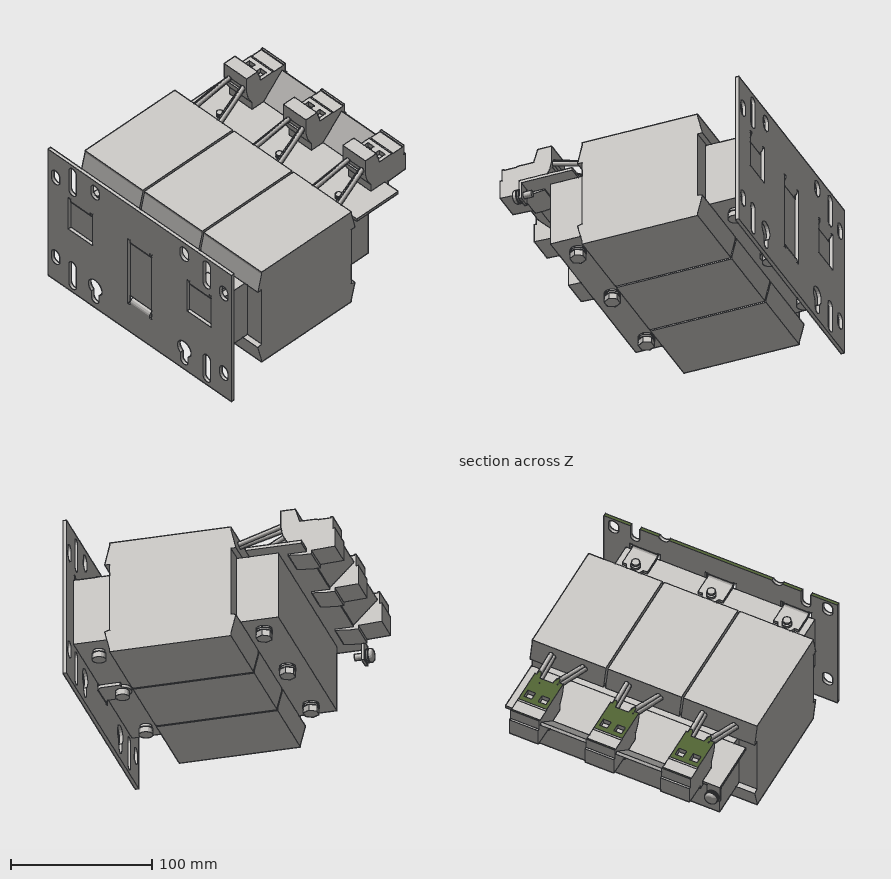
import cadquery as cq
import math


PLATE_WIDTH = 185.0
PLATE_HEIGHT = 122.0
PLATE_THICKNESS = 2.7

PITCH = 59.8
PHASE_X = (-PITCH, 0, PITCH)
LIMB = 30.0
CORE_WIDTH = 2 * PITCH + LIMB
CORE_START = PLATE_THICKNESS
CORE_END = 153.7
CORE_BOTTOM = -29.3
CORE_TOP = 21.8

COIL_WIDTH = 58.3
COIL_START = 33.5
COIL_END = 122.8
COIL_TOP = 40.0
COIL_BOTTOM = -46.8
FLANGE_OVERHANG = 3.7
FLANGE_EDGE = 2.0
FLANGE_GAP = 1.2

LONG_SLOT = (67.6, 45.0, 7.4, 25.6)
CORNER_SLOT = (84.7, 38.5, 8.2, 12.6)
UPPER_HOLE_X = 44.9
UPPER_HOLE_Z = 50.1
UPPER_HOLE_WIDTH = 8.7
UPPER_HOLE_LENGTH = 12.5
KEYHOLE_Z = -41.4
KEYHOLE_DIAMETER = 13.6
KEYHOLE_NECK_WIDTH = 7.4
KEYHOLE_END_Z = -56.2

TAB_WIDTH = 19.8
TAB_THICKNESS = 2.3
TAB_BEND_RADIUS = 4.7
TAB_SHOULDER_Y = 18.5
TAB_EAR_RADIUS = 6.6
WINDOW_WIDTH = 24.3
RELIEF_LENGTH = 5.5
SIDE_WINDOW_BOTTOM = -2.7

FRONT_BOLT_Y = 17.3
REAR_BOLT_Y = 139.0
FRONT_TIP_STEPS = ((4.0, 7.0), (1.5, 3.9), (1.4, 6.0))
FRONT_HEAD_STEPS = ((TAB_THICKNESS, 8.5), (4.7, 10.0))
REAR_TIP_STEPS = ((3.0, 5.0), (1.7, 3.9), (1.0, 5.0))
REAR_WASHER_STEPS = ((1.5, 11.3), (1.5, 11.9))
HEX_HEAD_WIDTH = 10.1
HEX_HEAD_REACH = 7.8

BRACKET_WIDTH = 169.6
BRACKET_START = 132.3
BRACKET_END = 173.5
BRACKET_THICKNESS = 2.3
RAMP_WIDTH = 124.4
RAMP_ANGLE = 45
RAMP_START = 171.2
RAMP_END = 191.2
EARTH_TAB_WIDTH = 10.1
EARTH_TAB_THICKNESS = 1.7
EARTH_TAB_BOTTOM = 8.7
EARTH_SCREW_Z = 14.0
EARTH_SHANK_LENGTH = 8.0
EARTH_SHANK_DIAMETER = 4.9
EARTH_WASHER_STEPS = ((1.0, 8.5), (1.4, 10.1), (0.5, 9.0))
EARTH_HEAD_LENGTH = 3.1
EARTH_HEAD_DIAMETER = 10.1
EARTH_HEAD_FILLET = 2.3

TERMINAL_WIDTH = 22.7
TERMINAL_END = 194.3
TERMINAL_FACE = 154.3
POCKET_OFFSET = 5.6
POCKET_WIDTH = 5.8
POCKET_LENGTH = 5.8
POCKET_DEPTH = 3.9
POCKET_Y = 173.7
POCKET_TOP = 46.8
ENTRY_WIDTH = 15.5
ENTRY_DEPTH = 2.3
ENTRY_BOTTOM = 40.8
ENTRY_TOP = 47.0
WIRE_DIAMETER = 3.5
WIRE_START = (6.2, 159.3, 47.0)
WIRE_END = (12.8, 122.5, 32.3)
WIRE_START_OFFSET = (1.0, 1.4)
WIRE_END_OFFSET = (1.0, 0.5)


def box(x_range, y_range, z_range):
    """Box between the given limits on each axis."""
    size = [high - low for low, high in (x_range, y_range, z_range)]
    corner = (x_range[0], y_range[0], z_range[0])
    return cq.Workplane("XY").box(*size, centered=False).translate(corner)


def centred_box(x, width, y_range, z_range):
    return box((x - width / 2, x + width / 2), y_range, z_range)


def side_profile(points, x, width):
    """Closed outline of (Y, Z) points extruded along X and centred on x."""
    return cq.Workplane("YZ").polyline(points).close().extrude(width / 2, both=True).translate((x, 0, 0))


def rod(start, direction, length, diameter):
    """Round bar from a start point along a direction."""
    solid = cq.Solid.makeCylinder(diameter / 2, length, cq.Vector(*start), cq.Vector(*direction))
    return cq.Workplane(obj=solid)


def stepped_rod(start, direction, steps):
    """Coaxial bars stacked along a direction, each step a (length, diameter) pair."""
    axis = cq.Vector(*direction)
    position = cq.Vector(*start)
    stack = None
    for length, diameter in steps:
        bar = rod(position.toTuple(), direction, length, diameter)
        stack = bar if stack is None else stack.union(bar)
        position = position + axis * length
    return stack


def plate_slot(x, z, width, length):
    """Upright round-ended cutter through the plate."""
    return (
        cq.Workplane("XZ")
        .center(x, z)
        .slot2D(length, width, 90)
        .extrude(-PLATE_THICKNESS)
    )


def keyhole(x):
    """Keyhole cutter with its narrow neck pointing down."""
    neck_length = KEYHOLE_Z - KEYHOLE_END_Z + KEYHOLE_NECK_WIDTH / 2
    neck_centre = KEYHOLE_END_Z + neck_length / 2
    head = rod((x, 0, KEYHOLE_Z), (0, 1, 0), PLATE_THICKNESS, KEYHOLE_DIAMETER)
    return head.union(plate_slot(x, neck_centre, KEYHOLE_NECK_WIDTH, neck_length))


def core_tab(x):
    """Bent tab lying on the top of the core, with a rounded ear around the bolt."""
    inner_radius = TAB_BEND_RADIUS - TAB_THICKNESS
    outer_z = CORE_TOP + TAB_BEND_RADIUS
    flat = centred_box(x, TAB_WIDTH, (TAB_BEND_RADIUS, TAB_SHOULDER_Y), (CORE_TOP, CORE_TOP + TAB_THICKNESS))
    ear = rod((x, FRONT_BOLT_Y, CORE_TOP), (0, 0, 1), TAB_THICKNESS, 2 * TAB_EAR_RADIUS)
    bend_limits = centred_box(x, TAB_WIDTH, (0, TAB_BEND_RADIUS), (CORE_TOP, outer_z))
    centre = (x - TAB_WIDTH / 2, TAB_BEND_RADIUS, outer_z)
    bend = (
        rod(centre, (1, 0, 0), TAB_WIDTH, 2 * TAB_BEND_RADIUS)
        .cut(rod(centre, (1, 0, 0), TAB_WIDTH, 2 * inner_radius))
        .intersect(bend_limits)
    )
    return flat.union(ear).union(bend)


def lower_core_tab(x):
    """The same tab turned over onto the underside of the core."""
    core_middle = (CORE_TOP + CORE_BOTTOM) / 2
    return core_tab(x).mirror("XY", (0, 0, core_middle))


def mounting_plate():
    """Perforated plate with three tabs over the core and one under it."""
    plate = centred_box(0, PLATE_WIDTH, (0, PLATE_THICKNESS), (-PLATE_HEIGHT / 2, PLATE_HEIGHT / 2))
    for slot_x, slot_z, width, length in (LONG_SLOT, CORNER_SLOT):
        for x in (-slot_x, slot_x):
            for z in (-slot_z, slot_z):
                plate = plate.cut(plate_slot(x, z, width, length))
    for x in (-UPPER_HOLE_X, UPPER_HOLE_X):
        plate = plate.cut(plate_slot(x, UPPER_HOLE_Z, UPPER_HOLE_WIDTH, UPPER_HOLE_LENGTH))
        plate = plate.cut(keyhole(x))

    window_top = CORE_TOP + RELIEF_LENGTH
    for x in PHASE_X:
        low = CORE_BOTTOM - RELIEF_LENGTH if x == 0 else SIDE_WINDOW_BOTTOM
        plate = plate.cut(centred_box(x, WINDOW_WIDTH, (0, PLATE_THICKNESS), (low, window_top)))
        root = (CORE_TOP + TAB_BEND_RADIUS, window_top)
        plate = plate.union(centred_box(x, TAB_WIDTH, (0, PLATE_THICKNESS), root)).union(core_tab(x))
    lower_root = (CORE_BOTTOM - RELIEF_LENGTH, CORE_BOTTOM - TAB_BEND_RADIUS)
    plate = plate.union(centred_box(0, TAB_WIDTH, (0, PLATE_THICKNESS), lower_root))
    return plate.union(lower_core_tab(0))


def core():
    """Three limbs joined by a yoke at each end."""
    z_range = (CORE_BOTTOM, CORE_TOP)
    body = centred_box(0, CORE_WIDTH, (CORE_START, CORE_END), z_range)
    opening_width = PITCH - LIMB
    for x in (-PITCH / 2, PITCH / 2):
        body = body.cut(centred_box(x, opening_width, (CORE_START + LIMB, CORE_END - LIMB), z_range))
    return body


def coil(x):
    """Winding block whose end flanges flare out above and below the core."""
    block = centred_box(x, COIL_WIDTH, (COIL_START, COIL_END), (COIL_BOTTOM, COIL_TOP))
    for end, outward in ((COIL_START, -1), (COIL_END, 1)):
        lip = end + outward * FLANGE_OVERHANG
        upper = [(end, COIL_TOP - FLANGE_EDGE), (lip, CORE_TOP + FLANGE_GAP), (end, CORE_TOP + FLANGE_GAP)]
        lower = [
            (end, COIL_BOTTOM + FLANGE_EDGE),
            (lip, CORE_BOTTOM - FLANGE_GAP),
            (end, CORE_BOTTOM),
        ]
        block = block.union(side_profile(upper, x, COIL_WIDTH)).union(side_profile(lower, x, COIL_WIDTH))
    return block


def front_bolt(x):
    tip = stepped_rod((x, FRONT_BOLT_Y, CORE_TOP), (0, 0, 1), FRONT_TIP_STEPS)
    head = stepped_rod((x, FRONT_BOLT_Y, CORE_BOTTOM), (0, 0, -1), FRONT_HEAD_STEPS)
    return tip.union(head)


def rear_bolt(x):
    """Bolt through the rear yoke with two washers and a hexagon head underneath."""
    tip = stepped_rod((x, REAR_BOLT_Y, CORE_TOP), (0, 0, 1), REAR_TIP_STEPS)
    washers = stepped_rod((x, REAR_BOLT_Y, CORE_BOTTOM), (0, 0, -1), REAR_WASHER_STEPS)
    corner_diameter = HEX_HEAD_WIDTH / math.cos(math.pi / 6)
    head = (
        cq.Workplane("XY", origin=(x, REAR_BOLT_Y, CORE_BOTTOM))
        .polygon(6, corner_diameter)
        .extrude(-HEX_HEAD_REACH)
    )
    return tip.union(washers).union(head)


def bracket():
    """Flat plate with a raised ramp behind the terminals and a small earthing tab."""
    top = CORE_TOP + BRACKET_THICKNESS
    plate = centred_box(0, BRACKET_WIDTH, (BRACKET_START, BRACKET_END), (CORE_TOP, top))

    thickness_y = BRACKET_THICKNESS * math.sin(math.radians(RAMP_ANGLE))
    thickness_z = BRACKET_THICKNESS * math.cos(math.radians(RAMP_ANGLE))
    rise = (RAMP_END - thickness_y - RAMP_START) * math.tan(math.radians(RAMP_ANGLE))
    ramp = [
        (RAMP_START, top),
        (RAMP_END - thickness_y, top + rise),
        (RAMP_END, top + rise - thickness_z),
        (RAMP_START + thickness_y, top - thickness_z),
    ]
    plate = plate.union(side_profile(ramp, 0, RAMP_WIDTH))

    left = -BRACKET_WIDTH / 2
    tab_y = (BRACKET_END - EARTH_TAB_THICKNESS, BRACKET_END)
    tab = box((left, left + EARTH_TAB_WIDTH), tab_y, (EARTH_TAB_BOTTOM, top))
    return plate.union(tab).union(earth_screw(left + EARTH_TAB_WIDTH / 2))


def earth_screw(x):
    """Domed screw and its washers on the small downturned tab."""
    seat = (x, BRACKET_END, EARTH_SCREW_Z)
    shank = rod(seat, (0, -1, 0), EARTH_SHANK_LENGTH, EARTH_SHANK_DIAMETER)
    washers = stepped_rod(seat, (0, 1, 0), EARTH_WASHER_STEPS)
    head_start = BRACKET_END + sum(length for length, _ in EARTH_WASHER_STEPS)
    head = rod((x, head_start, EARTH_SCREW_Z), (0, 1, 0), EARTH_HEAD_LENGTH, EARTH_HEAD_DIAMETER)
    head = head.faces(">Y").edges().fillet(EARTH_HEAD_FILLET)
    return shank.union(washers).union(head)


def terminal(x):
    """Terminal block with two screw pockets on top and a wire entry recess in its face."""
    outline = [
        (TERMINAL_END, 23.1),
        (TERMINAL_END, 37.9),
        (192.7, 37.9),
        (192.7, 47.0),
        (191.2, 47.0),
        (191.2, 46.2),
        (181.9, 46.2),
        (180.3, POCKET_TOP),
        (168.3, POCKET_TOP),
        (165.2, 57.0),
        (TERMINAL_FACE, 57.0),
        (TERMINAL_FACE, 44.1),
        (155.8, 37.3),
        (159.7, 30.5),
        (159.7, 20.8),
        (171.2, 19.6),
        (177.0, 19.6),
        (177.0, 22.3),
    ]
    block = side_profile(outline, x, TERMINAL_WIDTH)
    pocket_y = (POCKET_Y - POCKET_LENGTH / 2, POCKET_Y + POCKET_LENGTH / 2)
    pocket_z = (POCKET_TOP - POCKET_DEPTH, POCKET_TOP)
    for side in (-1, 1):
        pocket_x = x + side * POCKET_OFFSET
        block = block.cut(centred_box(pocket_x, POCKET_WIDTH, pocket_y, pocket_z))
    entry_y = (TERMINAL_FACE, TERMINAL_FACE + ENTRY_DEPTH)
    return block.cut(centred_box(x, ENTRY_WIDTH, entry_y, (ENTRY_BOTTOM, ENTRY_TOP)))


def wire_pair(x, side):
    """Two straight wires side by side from the terminal block down into the coil, leaning outward."""
    stations = ((WIRE_START, WIRE_START_OFFSET), (WIRE_END, WIRE_END_OFFSET))
    pair = cq.Workplane()
    for place in (-1, 1):
        ends = []
        for (reach, y, z), (shift_x, shift_z) in stations:
            ends.append(cq.Vector(x + side * reach + place * shift_x, y, z + place * shift_z))
        run = ends[1] - ends[0]
        pair = pair.add(rod(ends[0].toTuple(), run.toTuple(), run.Length, WIRE_DIAMETER))
    return pair


result = mounting_plate().union(core()).union(bracket())
for phase_x in PHASE_X:
    result = result.union(coil(phase_x)).union(terminal(phase_x))
    result = result.union(front_bolt(phase_x)).union(rear_bolt(phase_x))
    for wire_side in (-1, 1):
        result = result.union(wire_pair(phase_x, wire_side))